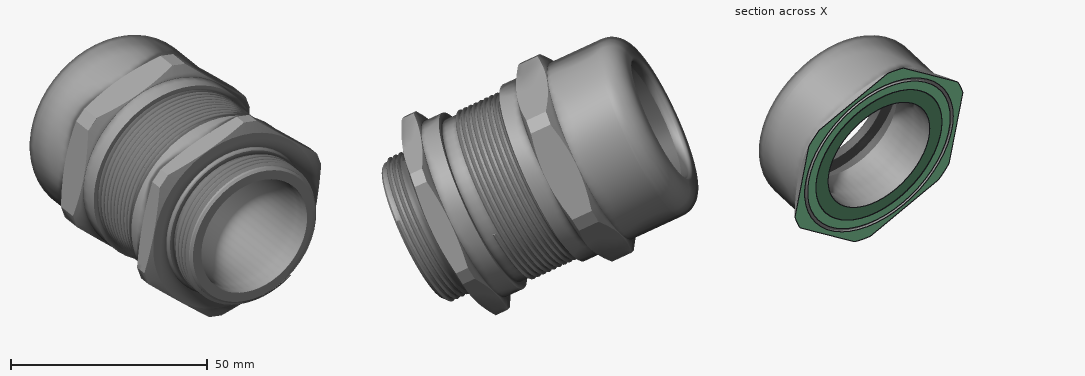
import cadquery as cq
import math


total_length = 70.4

across_flats = 50.0
across_corner_facets = 55.5
hex_turn = 11.0
hex_chamfer_diameter = 49.7

nut_diameter = 49.5
nut_end = 33.7
nut_dome_radius = 5.6
nut_hex_start = 20.1
nut_hex_end = 28.95
nut_hex_chamfer = 1.6
mouth_diameter = 32.6
mouth_rounding = 1.0
lip_thickness = 2.8
cage_seat_diameter = 45.2

seal_bore = 32.1
seal_diameter = 40.2
seal_start = 7.8
seal_end = 35.2
cage_end = 21.1

neck_diameter = 45.4
collar_diameter = 49.3
collar_start = 51.05
body_hex_start = 56.05
body_hex_end = 61.5
body_hex_chamfer = 1.0
spigot_diameter = 38.4
spigot_chamfer = 0.55

washer_diameter = 41.75
washer_thickness = 1.0
washer_rounding = 1.2

nut_thread_start = 31.7
nut_thread_length = 16.1
nut_thread_turns = 10.75
nut_thread_crest_diameter = 47.0
thread_pitch = nut_thread_length / nut_thread_turns
thread_height = (nut_thread_crest_diameter - neck_diameter) / 2
ridge_width = 2 * thread_height * math.tan(math.radians(30))
spigot_thread_start = 63.7
spigot_thread_turns = 3.85
thread_start_angle = 90.0


def cylinder(start, end, diameter):
    """Solid cylinder along X between two stations."""
    return cq.Workplane("YZ", origin=(start, 0, 0)).circle(diameter / 2).extrude(end - start)


def tube(start, end, outside, bore):
    """Straight sleeve along X."""
    return cylinder(start, end, outside).cut(cylinder(start, end, bore))


def hex_prism(start, end, width, corner_angle):
    """Hexagonal prism along X; one corner leans corner_angle degrees from +Z toward +Y."""
    corner_diameter = width / math.cos(math.radians(30))
    prism = cq.Workplane("YZ", origin=(start, 0, 0)).polygon(6, corner_diameter).extrude(end - start)
    return prism.rotate((0, 0, 0), (1, 0, 0), 90 - corner_angle)


def chamfered_hexagon(start, end, chamfer):
    """Hexagon with flat-cut corners and a conical chamfer at both ends."""
    blank = hex_prism(start, end, across_flats, hex_turn)
    corner_cut = hex_prism(start, end, across_corner_facets, hex_turn + 30)
    end_radius = hex_chamfer_diameter / 2
    full_radius = across_corner_facets / 2
    chamfer_envelope = (
        cq.Workplane("XY")
        .moveTo(start, 0)
        .lineTo(start, end_radius)
        .lineTo(start + chamfer, full_radius)
        .lineTo(start + chamfer, across_flats)
        .lineTo(end - chamfer, across_flats)
        .lineTo(end - chamfer, full_radius)
        .lineTo(end, end_radius)
        .lineTo(end, 0)
        .close()
        .revolve(360, (0, 0, 0), (1, 0, 0))
    )
    return blank.intersect(corner_cut).intersect(chamfer_envelope)


def make_nut():
    """Domed cap nut with a rounded mouth."""
    shell = cylinder(0, nut_end, nut_diameter).faces("<X").edges().fillet(nut_dome_radius)
    nut = shell.union(chamfered_hexagon(nut_hex_start, nut_hex_end, nut_hex_chamfer))
    nut = nut.cut(cylinder(0, nut_end, mouth_diameter))
    nut = nut.faces("<X").edges(cq.selectors.RadiusNthSelector(0)).fillet(mouth_rounding)
    nut = nut.cut(cylinder(lip_thickness, cage_end, cage_seat_diameter))
    return nut.cut(cylinder(cage_end, nut_end, nut_thread_crest_diameter))


def make_cage():
    """Clamping sleeve between the nut and the cable seal."""
    return tube(lip_thickness, cage_end, cage_seat_diameter, seal_diameter)


def make_seal():
    """Cable seal, reaching from the cage into the body."""
    return tube(seal_start, seal_end, seal_diameter, seal_bore)


def make_body():
    """Body with a neck, a collar, a hexagon and a spigot, bored through for cable and seal."""
    neck = cylinder(cage_end, collar_start, neck_diameter)
    collar = cylinder(collar_start, body_hex_start, collar_diameter)
    hexagon = chamfered_hexagon(body_hex_start, body_hex_end, body_hex_chamfer)
    spigot = cylinder(body_hex_end, total_length, spigot_diameter).faces(">X").edges().chamfer(spigot_chamfer)
    body = neck.union(collar).union(hexagon).union(spigot)
    body = body.cut(cylinder(cage_end, total_length, seal_bore))
    return body.cut(cylinder(cage_end, seal_end, seal_diameter))


def make_washer():
    """Sealing washer against the body hexagon, its outer edge rounded over the whole thickness."""
    inner_radius = spigot_diameter / 2
    outer_radius = washer_diameter / 2
    washer_end = body_hex_end + washer_thickness
    arc_drop = washer_rounding - math.sqrt(washer_rounding**2 - washer_thickness**2)
    return (
        cq.Workplane("XY")
        .moveTo(body_hex_end, inner_radius)
        .lineTo(body_hex_end, outer_radius)
        .radiusArc((washer_end, outer_radius - arc_drop), washer_rounding)
        .lineTo(washer_end, inner_radius)
        .close()
        .revolve(360, (0, 0, 0), (1, 0, 0))
    )


def make_thread(start, turns, root_diameter):
    """Helical ridge lying on a cylinder, its first section centred at the start station."""
    root_radius = root_diameter / 2
    helix = cq.Wire.makeHelix(thread_pitch, turns * thread_pitch, root_radius)
    section = cq.Workplane("XZ").polyline([
        (root_radius, -ridge_width / 2),
        (root_radius + thread_height, 0),
        (root_radius, ridge_width / 2),
    ]).close()
    ridge = section.sweep(cq.Workplane(obj=helix), isFrenet=True)
    along_x = ridge.rotate((0, 0, 0), (0, 1, 0), 90)
    return along_x.rotate((0, 0, 0), (1, 0, 0), thread_start_angle).translate((start, 0, 0))


nut = make_nut()
cage = make_cage()
seal = make_seal()
body = make_body()
washer = make_washer()
nut_thread = make_thread(nut_thread_start, nut_thread_turns, neck_diameter)
spigot_thread = make_thread(spigot_thread_start, spigot_thread_turns, spigot_diameter)

result = cq.Compound.makeCompound([
    nut.val(),
    cage.val(),
    seal.val(),
    body.val(),
    washer.val(),
    nut_thread.val(),
    spigot_thread.val(),
])